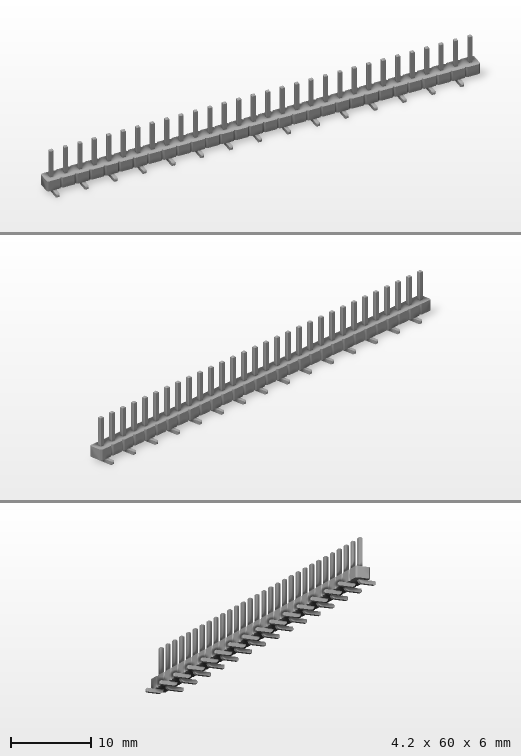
import cadquery as cq

pin_count = 30
pitch = 2.0

body_width = 2.0
body_bottom = 0.5
body_height = 1.5
body_bevel = 0.2

wire = 0.5
pin_height = 6.0
foot_reach = 2.1
tip_bevel = 0.125
bend_radius = wire

row_length = pin_count * pitch


def pin_y(index):
    """Y position of a pin, with the row centred on the origin."""
    return (index + 0.5) * pitch - row_length / 2


def make_block(y):
    """Insulator block around one pin, its four upright edges bevelled."""
    block = cq.Workplane("XY").box(body_width, pitch, body_height, centered=(True, True, False))
    return block.edges("|Z").chamfer(body_bevel).translate((0, y, body_bottom))


def make_pin(y, side):
    """L-shaped square wire with bevelled tips; side is +1 or -1 for the foot along X."""
    post = cq.Workplane("XY").box(wire, wire, pin_height, centered=(True, True, False))
    post = post.faces(">Z").chamfer(tip_bevel)
    foot_length = foot_reach + wire / 2
    foot = cq.Workplane("XY").box(foot_length, wire, wire, centered=(False, True, False))
    foot = foot.faces(">X").chamfer(tip_bevel).translate((-wire / 2, 0, 0))
    pin = post.union(foot).clean()
    pin = pin.edges("<X and <Z and |Y").fillet(bend_radius)
    if side < 0:
        pin = pin.mirror("YZ")
    return pin.translate((0, y, 0))


solids = []
for index in range(pin_count):
    foot_side = 1 if index % 2 == 0 else -1
    solids.append(make_block(pin_y(index)).val())
    solids.append(make_pin(pin_y(index), foot_side).val())

result = cq.Workplane(solids[0].fuse(*solids[1:]).clean())